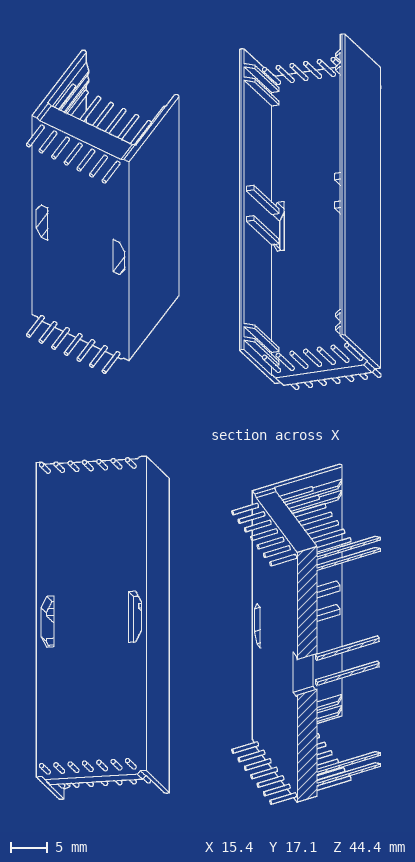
import cadquery as cq


width = 15.4
plate_thickness = 3.0
plate_height = 44.05
mid_z = plate_height / 2

wall_thickness = 0.7
wall_bottom = 0.45
wall_top = 44.35
wall_depth = 13.35
wall_bevel_depth = 0.2
wall_inner_x = width / 2 - wall_thickness

shoulder_ledge = 0.12
shoulder_run = 0.45
shoulder_outer_x = wall_inner_x - shoulder_ledge
shoulder_inner_x = shoulder_outer_x - shoulder_run

slot_height = 7.1
slot_width = 1.8
slot_outer_x = wall_inner_x
slot_inner_x = slot_outer_x - slot_width
slot_bevel_x = 0.8
slot_bevel_z = 1.55

rib_reach = 1.1
rib_inner_x = wall_inner_x - rib_reach
rib_thickness = 0.5
rib_top_zs = (42.22, 40.26)
rib_depth_at_wall = wall_depth - wall_bevel_depth
rib_end_drop = 1.15
post_depth = 12.35
post_span = 5.1
left_post_thickness = 0.95
right_post_thickness = 0.67

pin_diameter = 0.6
pin_pitch = 2.0
pins_per_row = 7
pin_outside_length = 3.75
pin_inside_end = 8.2
pin_edge_distance = 1.02


def mirrored(points):
    """Add the reflection in X, in reverse order, to half an outline."""
    return points + [(-x, y) for x, y in reversed(points)]


def both_sides(shape):
    """Return the shape together with its mirror image in the YZ plane."""
    return shape.union(shape.mirror("YZ"))


def make_plate():
    """Base plate with sloped shoulders at both ends."""
    half_outline = [
        (shoulder_inner_x, 0),
        (shoulder_outer_x, wall_bottom),
        (wall_inner_x, wall_bottom),
        (wall_inner_x, wall_top),
        (shoulder_outer_x, wall_top),
        (shoulder_inner_x, plate_height),
    ]
    return cq.Workplane("XZ").polyline(mirrored(half_outline)).close().extrude(-plate_thickness)


def make_right_wall():
    """Side wall whose free edge is bevelled to a ridge."""
    outer_x = width / 2
    bevel_start = wall_depth - wall_bevel_depth
    profile = [
        (wall_inner_x, 0),
        (outer_x, 0),
        (outer_x, bevel_start),
        (outer_x - wall_thickness / 2, wall_depth),
        (wall_inner_x, bevel_start),
    ]
    wall = cq.Workplane("XY").polyline(profile).close().extrude(wall_top - wall_bottom)
    return wall.translate((0, 0, wall_bottom))


def make_right_slot():
    """Cutter for a plate slot with its two outer corners bevelled."""
    half_height = slot_height / 2
    outline = [
        (slot_inner_x, -half_height),
        (slot_outer_x - slot_bevel_x, -half_height),
        (slot_outer_x, slot_bevel_z - half_height),
        (slot_outer_x, half_height - slot_bevel_z),
        (slot_outer_x - slot_bevel_x, half_height),
        (slot_inner_x, half_height),
    ]
    slot = cq.Workplane("XZ").polyline(outline).close().extrude(-plate_thickness)
    return slot.translate((0, 0, mid_z))


def make_right_rib(top_z):
    """Thin rib across the wall, sloping away at its free end."""
    profile = [
        (wall_inner_x, plate_thickness),
        (wall_inner_x, rib_depth_at_wall),
        (rib_inner_x, rib_depth_at_wall - rib_end_drop),
        (rib_inner_x, plate_thickness),
    ]
    rib = cq.Workplane("XY").polyline(profile).close().extrude(rib_thickness)
    return rib.translate((0, 0, top_z - rib_thickness))


def make_post_pair(side, thickness):
    """Two square-ended posts on one wall (side is -1 or +1), equally spaced about mid height."""
    posts = cq.Workplane("XY")
    for direction in (-1, 1):
        post = cq.Workplane("XY").box(rib_reach, post_depth - plate_thickness, thickness)
        centre = (
            side * (wall_inner_x - rib_reach / 2),
            (plate_thickness + post_depth) / 2,
            mid_z + direction * (post_span - thickness) / 2,
        )
        posts = posts.add(post.translate(centre))
    return posts.combine()


def make_pin_row(z):
    """Row of round pins passing through the plate."""
    first_x = -pin_pitch * (pins_per_row - 1) / 2
    centres = [(first_x + index * pin_pitch, z) for index in range(pins_per_row)]
    row = cq.Workplane("XZ", origin=(0, -pin_outside_length, 0)).pushPoints(centres)
    return row.circle(pin_diameter / 2).extrude(-(pin_outside_length + pin_inside_end))


result = make_plate().union(both_sides(make_right_wall()))
result = result.cut(both_sides(make_right_slot()))

for rib_top_z in rib_top_zs:
    for top_z in (rib_top_z, plate_height - rib_top_z + rib_thickness):
        result = result.union(both_sides(make_right_rib(top_z)))

result = result.union(make_post_pair(-1, left_post_thickness))
result = result.union(make_post_pair(1, right_post_thickness))

for pin_z in (pin_edge_distance, plate_height - pin_edge_distance):
    result = result.union(make_pin_row(pin_z))